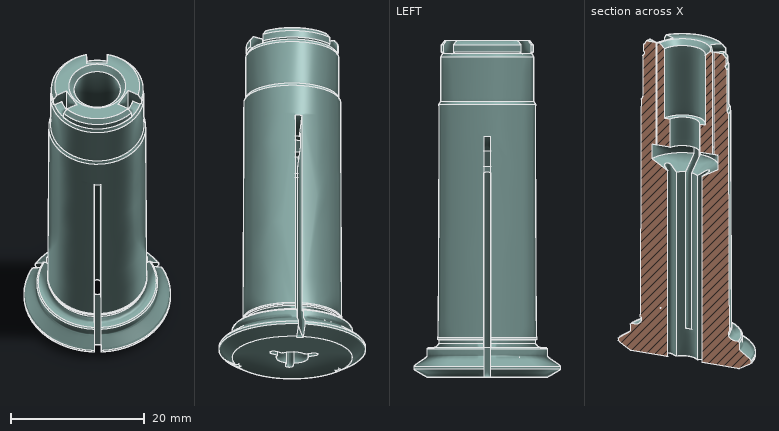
import cadquery as cq
import math

length = 50.5
head_top_radius = 6.35
head_radius = 6.9
head_chamfer_z = 49.8
head_bottom_z = 48.75
groove_radius = 6.7
groove_z = 48.5
neck_radius = 14.0 / 2
neck_top_z = 48.0
neck_bottom_z = 41.35

sleeve_top_radius = 7.27
sleeve_top_z = 40.9
sleeve_bottom_radius = 7.42
land_radius = 7.48
land_top_z = 6.0
land_bottom_z = 5.75
undercut_radius = 7.25
undercut_top_z = 5.6
undercut_bottom_z = 5.1
undercut_arc_radius = 1.14
undercut_outer_radius = 8.3

collar_radius = 9.05
collar_top_z = 4.45
collar_chamfer = 0.2
shoulder_top_z = 3.1
shoulder_fillet = 0.45
rim_radius = 11.0
rim_top_z = 1.65
rim_bottom_z = 1.25
rim_edge_radius = 10.8
rim_edge_top_z = 1.9
rim_edge_bottom_z = 1.05
base_radius = 9.0

mouth_radius = 8.5 / 2
thread_radius = 6.92 / 2
thread_depth = 12.0
throat_radius = 5.2 / 2
chamber_radius = 10.92 / 2
chamber_top_z = 33.9
chamber_bottom_z = 31.6
drill_point_slope = math.tan(math.radians(31))
clamping_radius = 2.4

feature_count = 3
notch_width = 3.05
notch_depth = 2.0
notch_inner_radius = 4.45
channel_outer_radius = 8.2 / 2
channel_width = 1.15
channel_inner_radius = 0.5

slot_width = 1.0
slot_top_z = 36.1
slot_end_slope = math.tan(math.radians(36))
slot_floor_base_radius = 8.55
slot_inner_radius = 1.0

clearance = 1.0
cutter_outer_radius = rim_radius + clearance
cutter_top_z = length + clearance


def revolve_about_z(profile):
    return profile.close().revolve(360, (0, 0, 0), (0, 1, 0))


def radial_box(inner_radius, outer_radius, width, bottom_z, top_z):
    box = cq.Workplane("XY").box(
        outer_radius - inner_radius, width, top_z - bottom_z, centered=(False, True, False)
    )
    return box.translate((inner_radius, 0, bottom_z))


def cut_around(body, cutter):
    for index in range(feature_count):
        angle = index * 360 / feature_count
        body = body.cut(cutter.rotate((0, 0, 0), (0, 0, 1), angle))
    return body


def revolved_body():
    shoulder_angle = math.atan2(shoulder_top_z - rim_edge_top_z, rim_edge_radius - collar_radius)
    fillet_tangent = shoulder_fillet * math.tan((math.pi / 2 - shoulder_angle) / 2)
    fillet_outer_end = (
        collar_radius + fillet_tangent * math.cos(shoulder_angle),
        shoulder_top_z - fillet_tangent * math.sin(shoulder_angle),
    )
    profile = (
        cq.Workplane("XZ")
        .lineTo(base_radius, 0)
        .lineTo(rim_edge_radius, rim_edge_bottom_z)
        .lineTo(rim_radius, rim_bottom_z)
        .lineTo(rim_radius, rim_top_z)
        .lineTo(rim_edge_radius, rim_edge_top_z)
        .lineTo(*fillet_outer_end)
        .radiusArc((collar_radius, shoulder_top_z + fillet_tangent), shoulder_fillet)
        .lineTo(collar_radius, collar_top_z - collar_chamfer)
        .lineTo(collar_radius - collar_chamfer, collar_top_z)
        .lineTo(undercut_outer_radius, collar_top_z)
        .radiusArc((undercut_radius, undercut_bottom_z), undercut_arc_radius)
        .lineTo(undercut_radius, undercut_top_z)
        .lineTo(land_radius, land_bottom_z)
        .lineTo(land_radius, land_top_z)
        .lineTo(sleeve_bottom_radius, land_top_z)
        .lineTo(sleeve_top_radius, sleeve_top_z)
        .lineTo(neck_radius, neck_bottom_z)
        .lineTo(neck_radius, neck_top_z)
        .lineTo(groove_radius, groove_z)
        .lineTo(head_radius, head_bottom_z)
        .lineTo(head_radius, head_chamfer_z)
        .lineTo(head_top_radius, length)
        .lineTo(0, length)
    )
    return revolve_about_z(profile)


def threaded_mouth():
    """Chamfered thread hole in the head, opening through a throat into the chamber."""
    mouth_depth = mouth_radius - thread_radius
    thread_bottom_z = length - thread_depth
    profile = (
        cq.Workplane("XZ")
        .moveTo(0, chamber_bottom_z)
        .lineTo(throat_radius, chamber_bottom_z)
        .lineTo(throat_radius, thread_bottom_z)
        .lineTo(thread_radius, thread_bottom_z)
        .lineTo(thread_radius, length - mouth_depth)
        .lineTo(mouth_radius, length)
        .lineTo(0, length)
    )
    return revolve_about_z(profile)


def chamber():
    """Clamping bore, conical chamber and the three passages from it up to the notches."""
    cone_depth = (chamber_radius - clamping_radius) * drill_point_slope
    profile = (
        cq.Workplane("XZ")
        .lineTo(clamping_radius, 0)
        .lineTo(clamping_radius, chamber_bottom_z - cone_depth)
        .lineTo(chamber_radius, chamber_bottom_z)
        .lineTo(chamber_radius, length)
        .lineTo(0, length)
    )
    core = (
        cq.Workplane("XY")
        .workplane(offset=chamber_top_z)
        .circle(rim_radius)
        .extrude(cutter_top_z - chamber_top_z)
    )
    passage = radial_box(
        notch_inner_radius,
        cutter_outer_radius,
        notch_width,
        chamber_top_z - clearance,
        cutter_top_z + clearance,
    )
    return revolve_about_z(profile).cut(cut_around(core, passage))


def notch():
    floor_z = length - notch_depth
    return radial_box(notch_inner_radius, cutter_outer_radius, notch_width, floor_z, cutter_top_z)


def channel():
    """Round-bottomed groove along the clamping bore, open at the flange end."""
    end_radius = channel_width / 2
    end_center = channel_outer_radius - end_radius
    straight = radial_box(
        channel_inner_radius, end_center, channel_width, -clearance, chamber_bottom_z
    )
    round_bottom = (
        cq.Workplane("XY")
        .workplane(offset=-clearance)
        .center(end_center, 0)
        .circle(end_radius)
        .extrude(chamber_bottom_z + clearance)
    )
    return straight.union(round_bottom)


def slot():
    def floor_z(radius):
        return (slot_floor_base_radius - radius) * slot_end_slope

    def top_z(radius):
        return slot_top_z + (radius - sleeve_top_radius) * slot_end_slope

    return (
        cq.Workplane("XZ")
        .moveTo(slot_inner_radius, floor_z(slot_inner_radius))
        .lineTo(cutter_outer_radius, floor_z(cutter_outer_radius))
        .lineTo(cutter_outer_radius, top_z(cutter_outer_radius))
        .lineTo(slot_inner_radius, top_z(slot_inner_radius))
        .close()
        .extrude(slot_width / 2, both=True)
        .rotate((0, 0, 0), (0, 0, 1), 180)
    )


result = revolved_body().cut(chamber()).cut(threaded_mouth())
for cutter in (notch(), channel(), slot()):
    result = cut_around(result, cutter)